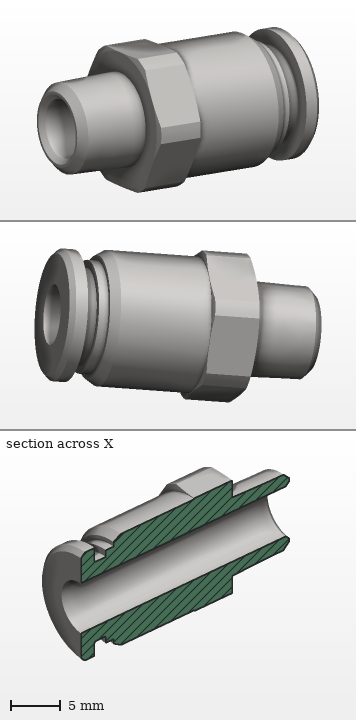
import cadquery as cq
import math

total_length = 27.2

stub_length = 7.48
stub_root_radius = 4.9
stub_end_radius = 4.7
stub_tip_radius = 3.9
stub_chamfer_length = 0.82

hex_across_flats = 14.0
hex_corner_radius = 7.65
hex_length = 4.98
hex_chamfer_length = 0.15
hex_face_radius = hex_across_flats / 2

body_radius = 6.9
body_length = 9.52
body_tip_radius = 6.3
body_chamfer_length = 0.98
collar_radius = 5.77
collar_length = 1.0

neck_radius = 4.95
neck_fillet_radius = 0.25
flange_radius = 6.72
flange_tip_radius = 6.2
flange_length = 1.8
flange_chamfer_length = 0.55

bore_radius = 3.07
bore_mouth_radius = 3.6
bore_chamfer_length = bore_mouth_radius - bore_radius

hex_end = stub_length + hex_length
body_shoulder = hex_end + body_length
body_end = body_shoulder + body_chamfer_length
collar_end = body_end + collar_length
flange_start = total_length - flange_length


def revolve_profile(points):
    """Revolve a closed (radius, station) outline about the Y axis."""
    return cq.Workplane("XY").polyline(points).close().revolve(360, (0, 0, 0), (0, 1, 0))


def make_stub():
    return revolve_profile([
        (0, 0),
        (stub_tip_radius, 0),
        (stub_end_radius, stub_chamfer_length),
        (stub_root_radius, stub_length),
        (0, stub_length),
    ])


def make_hexagon():
    """Hexagon with flats facing +Z and -Z, trimmed by a chamfered round envelope."""
    prism = (
        cq.Workplane("XZ", origin=(0, hex_end, 0))
        .polygon(6, hex_across_flats / math.cos(math.pi / 6))
        .extrude(hex_length)
    )
    envelope = revolve_profile([
        (0, stub_length),
        (hex_face_radius, stub_length),
        (hex_corner_radius, stub_length + hex_chamfer_length),
        (hex_corner_radius, hex_end - hex_chamfer_length),
        (hex_face_radius, hex_end),
        (0, hex_end),
    ])
    return prism.intersect(envelope)


def make_body_and_sleeve():
    """Body, collar, neck and flange, with a fillet where the neck meets the flange."""
    solid = revolve_profile([
        (0, hex_end),
        (body_radius, hex_end),
        (body_radius, body_shoulder),
        (body_tip_radius, body_end),
        (collar_radius, body_end),
        (collar_radius, collar_end),
        (neck_radius, collar_end),
        (neck_radius, flange_start),
        (flange_radius, flange_start),
        (flange_radius, total_length - flange_chamfer_length),
        (flange_tip_radius, total_length),
        (0, total_length),
    ])
    margin = neck_fillet_radius / 2
    neck_corner = cq.selectors.BoxSelector(
        (-neck_radius - margin, flange_start - margin, -neck_radius - margin),
        (neck_radius + margin, flange_start + margin, neck_radius + margin),
        boundingbox=True,
    )
    return solid.edges(neck_corner).fillet(neck_fillet_radius)


def make_bore():
    """Through bore, countersunk at the stub end."""
    return revolve_profile([
        (0, 0),
        (bore_mouth_radius, 0),
        (bore_radius, bore_chamfer_length),
        (bore_radius, total_length),
        (0, total_length),
    ])


result = make_stub().union(make_hexagon()).union(make_body_and_sleeve()).cut(make_bore())